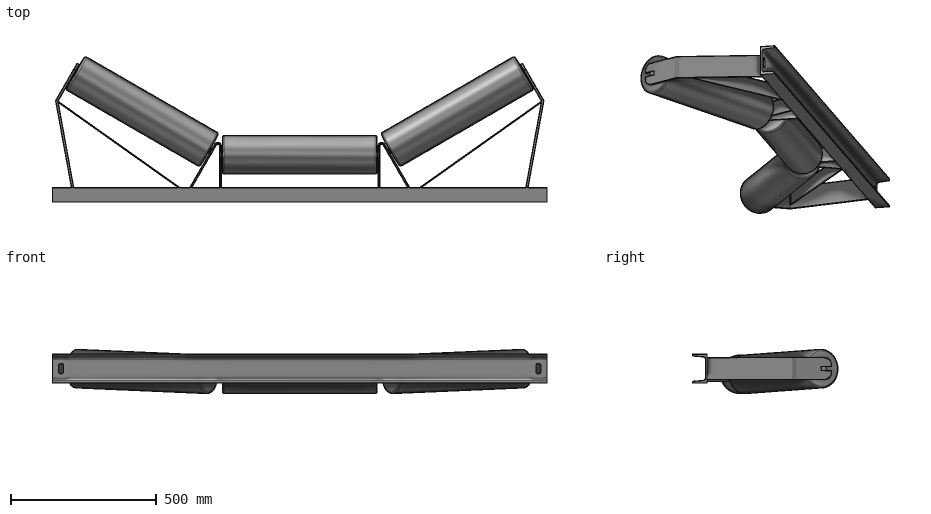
import cadquery as cq
import math

BEAM_LENGTH = 1700.0
BEAM_HEIGHT = 100.0
BEAM_DEPTH = 50.0
WEB_THICKNESS = 6.0
FLANGE_THICKNESS = 8.5
FLANGE_SLOPE = 4.57
ROOT_RADIUS = 8.5
TOE_RADIUS = 4.5
BOLT_SLOT_WIDTH = 18.0
BOLT_SLOT_LENGTH = 36.0
BOLT_SLOT_END_DISTANCE = 30.0

ROLLER_LENGTH = 530.0
ROLLER_DIAMETER = 133.0
ROLLER_EDGE_RADIUS = 6.0
TROUGH_ANGLE = 30.0
FORWARD_TILT = 2.135
CENTRE_ROLLER_Y = 163.0
CENTRE_ROLLER_Z = -19.4
SIDE_ROLLER_X = 541.0
SIDE_ROLLER_Y = 311.8
SIDE_ROLLER_Z = -9.7

SHAFT_DIAMETER = 25.0
TONGUE_WIDTH = 15.0
TONGUE_HEIGHT = 18.0

INNER_BAR_THICKNESS = 6.0
INNER_BAR_HEIGHT = 50.0
INNER_BEND_RADIUS = 9.0
CENTRE_GAP = 4.5
INNER_GAP = 7.0
OUTER_BAR_THICKNESS = 8.0
OUTER_BAR_HEIGHT = 75.0
OUTER_BEND_RADIUS = 7.0
OUTER_GAP = 3.5
OUTER_FOOT_X = 780.0
OUTER_BEND_Y = 348.0
OUTER_TOP_Y = 475.0
OUTER_CORNER_RADIUS = 25.0
BRACE_THICKNESS = 3.0
BRACE_HEIGHT = 50.0
BRACE_FOOT_X = 410.0

WEB_MIDDLE_Y = BEAM_DEPTH - WEB_THICKNESS / 2
SIN_TROUGH = math.sin(math.radians(TROUGH_ANGLE))
COS_TROUGH = math.cos(math.radians(TROUGH_ANGLE))
CENTRE_REACH = ROLLER_LENGTH / 2 + CENTRE_GAP + INNER_BAR_THICKNESS
INNER_REACH = ROLLER_LENGTH / 2 + INNER_GAP + INNER_BAR_THICKNESS
OUTER_REACH = ROLLER_LENGTH / 2 + OUTER_GAP + OUTER_BAR_THICKNESS

SLOT_OPENING = 60.0
SLOT_OVERRUN = 1.0


def side_plane():
    """Plane at the middle of the +X side roller: normal outward along its axis, local Y up the bracket."""
    rise = math.sin(math.radians(FORWARD_TILT))
    run = math.cos(math.radians(FORWARD_TILT))
    axis = (COS_TROUGH * run, SIN_TROUGH * run, rise)
    across = (-SIN_TROUGH, COS_TROUGH, 0)
    x_dir = cq.Vector(*across).cross(cq.Vector(*axis))
    return cq.Plane((SIDE_ROLLER_X, SIDE_ROLLER_Y, SIDE_ROLLER_Z), x_dir, axis)


def centre_plane():
    """Plane at the middle of the centre roller: normal along +X, local Y along +Y."""
    return cq.Plane((0, CENTRE_ROLLER_Y, CENTRE_ROLLER_Z), (0, 0, -1), (1, 0, 0))


def mirrored(body):
    return body.mirror("YZ")


def shaft_core(plane):
    return cq.Workplane(plane).circle(SHAFT_DIAMETER / 2).extrude(ROLLER_LENGTH / 2, both=True)


def make_roller(plane):
    """Roller with rounded rims, bored through for its shaft."""
    return (
        cq.Workplane(plane)
        .workplane(offset=-ROLLER_LENGTH / 2)
        .circle(ROLLER_DIAMETER / 2)
        .extrude(ROLLER_LENGTH)
        .edges()
        .fillet(ROLLER_EDGE_RADIUS)
        .cut(shaft_core(plane))
    )


def make_shaft(plane, start, end):
    """Shaft whose tongues end at the given distances along the axis."""
    tongue = (
        cq.Workplane(plane)
        .workplane(offset=start)
        .rect(TONGUE_WIDTH, TONGUE_HEIGHT)
        .extrude(end - start)
    )
    return shaft_core(plane).union(tongue)


def shaft_slot(plane, start, end):
    """Cutter for an open-topped slot that a shaft tongue drops into."""
    bottom = -TONGUE_HEIGHT / 2
    return (
        cq.Workplane(plane)
        .workplane(offset=start)
        .center(0, (bottom + SLOT_OPENING) / 2)
        .rect(TONGUE_WIDTH, SLOT_OPENING - bottom)
        .extrude(end - start)
    )


def bent_bar(start, corner, end, radius, thickness, bottom, top):
    """Flat bar on edge whose centreline runs start-corner-end with a rounded corner."""
    start, corner, end = (cq.Vector(*point) for point in (start, corner, end))
    first = (start - corner).normalized()
    second = (end - corner).normalized()
    setback = radius / math.tan(first.getAngle(second) / 2)
    bend_start = corner + first * setback
    bend_end = corner + second * setback
    path = (
        cq.Workplane("XY")
        .moveTo(start.x, start.y)
        .lineTo(bend_start.x, bend_start.y)
        .tangentArcPoint((bend_end.x, bend_end.y), relative=False)
        .lineTo(end.x, end.y)
    )
    section = cq.Plane(start, cq.Vector(0, 0, 1), first * -1)
    return (
        cq.Workplane(section)
        .center((bottom + top) / 2, 0)
        .rect(top - bottom, thickness)
        .sweep(path)
    )


def straight_bar(start, end, thickness, bottom, top):
    """Flat bar on edge along a straight centreline."""
    start, end = cq.Vector(*start), cq.Vector(*end)
    section = cq.Plane(start, cq.Vector(0, 0, 1), end - start)
    return (
        cq.Workplane(section)
        .center((bottom + top) / 2, 0)
        .rect(top - bottom, thickness)
        .extrude((end - start).Length)
    )


def side_bar_x(distance, y):
    """X of a bar centreline that crosses the side roller axis squarely at a distance from its middle."""
    crossing_x = SIDE_ROLLER_X + distance * COS_TROUGH
    crossing_y = SIDE_ROLLER_Y + distance * SIN_TROUGH
    return crossing_x - (y - crossing_y) * SIN_TROUGH / COS_TROUGH


def make_beam():
    """Channel with tapered flanges and an upright bolt slot near each end of the web."""
    web_face_y = BEAM_DEPTH - WEB_THICKNESS
    half_taper = web_face_y / 2 * math.tan(math.radians(FLANGE_SLOPE))
    mean_z = BEAM_HEIGHT / 2 - FLANGE_THICKNESS
    toe_z = mean_z + half_taper
    root_z = mean_z - half_taper
    channel = (
        cq.Workplane("YZ")
        .workplane(offset=-BEAM_LENGTH / 2)
        .moveTo(0, BEAM_HEIGHT / 2)
        .lineTo(BEAM_DEPTH, BEAM_HEIGHT / 2)
        .lineTo(BEAM_DEPTH, -BEAM_HEIGHT / 2)
        .lineTo(0, -BEAM_HEIGHT / 2)
        .lineTo(0, -toe_z)
        .lineTo(web_face_y, -root_z)
        .lineTo(web_face_y, root_z)
        .lineTo(0, toe_z)
        .close()
        .extrude(BEAM_LENGTH)
    )
    root_edges = cq.selectors.BoxSelector(
        (-BEAM_LENGTH, web_face_y - 1, -root_z - 1), (BEAM_LENGTH, web_face_y + 1, root_z + 1)
    )
    toe_edges = cq.selectors.BoxSelector(
        (-BEAM_LENGTH, -1, -toe_z - 1), (BEAM_LENGTH, 1, toe_z + 1)
    )
    channel = channel.edges("|X").edges(root_edges).fillet(ROOT_RADIUS)
    channel = channel.edges("|X").edges(toe_edges).fillet(TOE_RADIUS)
    bolt_x = BEAM_LENGTH / 2 - BOLT_SLOT_END_DISTANCE
    bolt_slots = (
        cq.Workplane("XZ")
        .pushPoints([(-bolt_x, 0), (bolt_x, 0)])
        .slot2D(BOLT_SLOT_LENGTH, BOLT_SLOT_WIDTH, 90)
        .extrude(-BEAM_DEPTH)
    )
    return channel.cut(bolt_slots)


def make_inner_bracket():
    """Inverted V that carries the centre roller on one leg and the side roller on the other."""
    straight_x = CENTRE_REACH - INNER_BAR_THICKNESS / 2
    lean_foot_x = side_bar_x(INNER_BAR_THICKNESS / 2 - INNER_REACH, WEB_MIDDLE_Y)
    apex_y = WEB_MIDDLE_Y + (lean_foot_x - straight_x) * COS_TROUGH / SIN_TROUGH
    return bent_bar(
        (straight_x, WEB_MIDDLE_Y),
        (straight_x, apex_y),
        (lean_foot_x, WEB_MIDDLE_Y),
        INNER_BEND_RADIUS,
        INNER_BAR_THICKNESS,
        CENTRE_ROLLER_Z - INNER_BAR_HEIGHT / 2,
        CENTRE_ROLLER_Z + INNER_BAR_HEIGHT / 2,
    )


def make_outer_bracket():
    """Bent bar that carries the outer end of the side roller, with rounded top corners."""
    distance = OUTER_REACH - OUTER_BAR_THICKNESS / 2
    bar = bent_bar(
        (OUTER_FOOT_X, WEB_MIDDLE_Y),
        (side_bar_x(distance, OUTER_BEND_Y), OUTER_BEND_Y),
        (side_bar_x(distance, OUTER_TOP_Y), OUTER_TOP_Y),
        OUTER_BEND_RADIUS,
        OUTER_BAR_THICKNESS,
        -OUTER_BAR_HEIGHT / 2,
        OUTER_BAR_HEIGHT / 2,
    )
    return bar.faces(">Y").edges("not |Z").fillet(OUTER_CORNER_RADIUS)


def make_brace():
    """Straight bar from the beam up to the bend of the outer bracket."""
    distance = OUTER_REACH - OUTER_BAR_THICKNESS / 2
    return straight_bar(
        (BRACE_FOOT_X, WEB_MIDDLE_Y),
        (side_bar_x(distance, OUTER_BEND_Y), OUTER_BEND_Y),
        BRACE_THICKNESS,
        -BRACE_HEIGHT / 2,
        BRACE_HEIGHT / 2,
    )


def make_frame():
    """Welded frame: beam, brackets and braces, with slots for the shafts."""
    side_parts = make_inner_bracket().union(make_outer_bracket()).union(make_brace())
    half = ROLLER_LENGTH / 2
    for slot in (
        shaft_slot(centre_plane(), half, CENTRE_REACH + SLOT_OVERRUN),
        shaft_slot(side_plane(), -INNER_REACH - SLOT_OVERRUN, -half),
        shaft_slot(side_plane(), half, OUTER_REACH + SLOT_OVERRUN),
    ):
        side_parts = side_parts.cut(slot)
    return make_beam().union(side_parts).union(mirrored(side_parts))


frame = make_frame()
centre_roller = make_roller(centre_plane())
centre_shaft = make_shaft(centre_plane(), -CENTRE_REACH, CENTRE_REACH)
side_roller = make_roller(side_plane())
side_shaft = make_shaft(side_plane(), -INNER_REACH, OUTER_REACH)

bodies = [frame, centre_roller, centre_shaft]
for body in (side_roller, side_shaft):
    bodies += [body, mirrored(body)]
result = cq.Compound.makeCompound([body.val() for body in bodies])